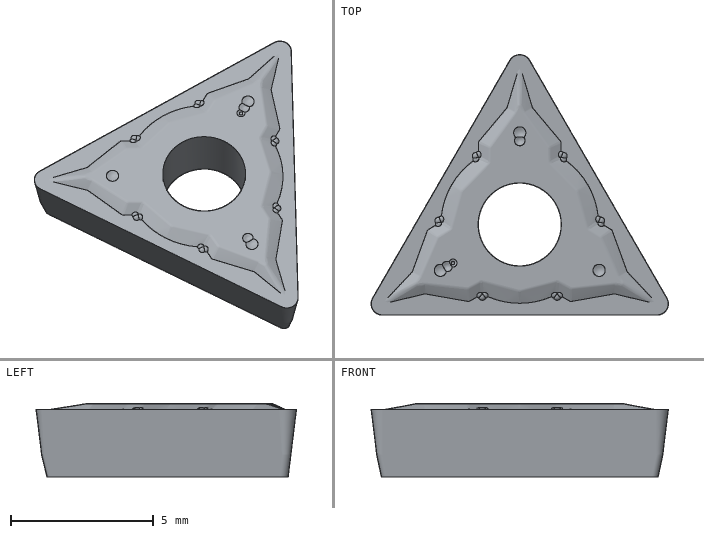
import cadquery as cq
import math

SIDES = 3
SIDE_TURN = 360 / SIDES
INSCRIBED_RADIUS = 3.175
CORNER_RADIUS = 0.4
BODY_THICKNESS = 2.38
RELIEF_ANGLE = 7.0
RELIEF_SLOPE = math.tan(math.radians(RELIEF_ANGLE))
CORNER_BREAK_HEIGHT = 0.78
HOLE_DIAMETER = 2.9

BREAKER_HEIGHT = 0.2
TIP_REACH = 5.58
RIDGE_REACH = 4.25

FOOT_KNEE = (3.317, 2.43)
FOOT_PEAK = (1.78, 2.70)
FOOT_VALLEY = (1.31, 2.43)
FOOT_ARC_RADIUS = math.hypot(*FOOT_VALLEY)
RIM_KNEE = (3.317, 2.09)
RIM_PEAK = (1.81, 2.25)
RIM_VALLEY = (1.335, 1.99)
RIM_MIDDLE = 2.34

CORNER_FILLET = 0.3
KNEE_FILLET = 0.2
MIDDLE_FILLET = 0.5
RIM_FILLET = 0.2
RIDGE_FILLET = 0.2

CLUSTER_CENTRE = (1.31, 2.45)
BUMP_OFFSETS = ((-0.1, 0), (0.1, 0), (0, 0.08))
BUMP_RADIUS = 0.125
BUMP_HEIGHT = 0.06

DIMPLES = ((0.213, 3.21), (0.183, 2.94), (0.14, 2.70))
DIMPLE_COUNTS = ((0, 1), (1, 2), (2, 3))
DIMPLE_RING = 0.08
DIMPLE_RING_DEPTH = 0.03
DISH_DEPTH = 0.03

MATCH_TOLERANCE = 0.01
TOP_Z = BODY_THICKNESS + BREAKER_HEIGHT


def polar(reach, angle):
    """Point at a distance from the axis in a direction given in degrees."""
    return reach * math.cos(math.radians(angle)), reach * math.sin(math.radians(angle))


def side_point(along, outward, side):
    """Point placed relative to a side; side 0 faces -Y."""
    turn = math.radians(SIDE_TURN * side)
    return (
        along * math.cos(turn) + outward * math.sin(turn),
        along * math.sin(turn) - outward * math.cos(turn),
    )


def side_angle(side):
    """Direction that a side faces."""
    return SIDE_TURN * side - 90


def corner_angle(corner):
    """Direction of a corner; corner 0 is where side 0 ends on +X."""
    return side_angle(corner) + SIDE_TURN / 2


def on_both_halves(point):
    """The mirrored pair of a side point, repeated on every side."""
    along, outward = point
    return [side_point(sign * along, outward, side) for side in range(SIDES) for sign in (-1, 1)]


def rounded_triangle(height):
    """Outline of the body at a height, as a closed wire."""
    inset = (BODY_THICKNESS - height) * RELIEF_SLOPE
    cone_drop = BODY_THICKNESS - max(height, CORNER_BREAK_HEIGHT)
    radius = CORNER_RADIUS - cone_drop * RELIEF_SLOPE
    inscribed = INSCRIBED_RADIUS - inset
    half_straight = (inscribed - radius) * math.tan(math.radians(SIDE_TURN / 2))
    corner_reach = (inscribed - radius) / math.cos(math.radians(SIDE_TURN / 2)) + radius
    start = side_point(-half_straight, inscribed, 0)
    outline = cq.Workplane("XY", origin=(0, 0, height)).moveTo(*start)
    for side in range(SIDES):
        corner = polar(corner_reach, corner_angle(side))
        outline = outline.lineTo(*side_point(half_straight, inscribed, side))
        outline = outline.threePointArc(corner, side_point(-half_straight, inscribed, side + 1))
    return outline.close().val()


def make_body():
    base = rounded_triangle(0)
    corner_break = rounded_triangle(CORNER_BREAK_HEIGHT)
    top = rounded_triangle(BODY_THICKNESS)
    upper = cq.Solid.makeLoft([corner_break, top], True)
    lower = cq.Solid.makeLoft([base, corner_break], True)
    return cq.Workplane(upper).union(cq.Workplane(lower)).clean()


def breaker_outline(height, corner_reach, knee, peak, valley, middle, curved):
    """Closed outline of the island at a height; curved makes the stretch between valleys an arc."""
    start = polar(corner_reach, corner_angle(-1))
    outline = cq.Workplane("XY", origin=(0, 0, height)).moveTo(*start)
    for side in range(SIDES):
        for along, outward in (knee, peak, valley):
            outline = outline.lineTo(*side_point(-along, outward, side))
        middle_point = side_point(0, middle, side)
        valley_end = side_point(*valley, side)
        if curved:
            half_sweep = math.degrees(math.atan2(*valley)) / 2
            before_middle = polar(middle, side_angle(side) - half_sweep)
            after_middle = polar(middle, side_angle(side) + half_sweep)
            outline = outline.threePointArc(before_middle, middle_point)
            outline = outline.threePointArc(after_middle, valley_end)
        else:
            outline = outline.lineTo(*middle_point).lineTo(*valley_end)
        for along, outward in (peak, knee):
            outline = outline.lineTo(*side_point(along, outward, side))
        if side < SIDES - 1:
            outline = outline.lineTo(*polar(corner_reach, corner_angle(side)))
    return outline.close().val()


def wall_seams(solid, foot_points):
    """Sloping edges of the island wall that start at the given foot points."""
    seams = []
    for edge in solid.Edges():
        foot_end = min(edge.startPoint(), edge.endPoint(), key=lambda point: point.z)
        is_sloping = edge.BoundingBox().zlen > BREAKER_HEIGHT / 2
        starts_here = any(
            math.hypot(foot_end.x - x, foot_end.y - y) < MATCH_TOLERANCE for x, y in foot_points
        )
        if is_sloping and starts_here:
            seams.append(edge)
    return seams


def make_breaker():
    foot = breaker_outline(
        BODY_THICKNESS, TIP_REACH, FOOT_KNEE, FOOT_PEAK, FOOT_VALLEY, FOOT_ARC_RADIUS, curved=True
    )
    rim = breaker_outline(
        TOP_Z, RIDGE_REACH, RIM_KNEE, RIM_PEAK, RIM_VALLEY, RIM_MIDDLE, curved=False
    )
    island = cq.Solid.makeLoft([foot, rim], True)

    wall_corners = on_both_halves(FOOT_PEAK) + on_both_halves(FOOT_VALLEY)
    knees = on_both_halves(FOOT_KNEE)
    middles = [side_point(0, FOOT_ARC_RADIUS, side) for side in range(SIDES)]
    tips = [polar(TIP_REACH, corner_angle(side)) for side in range(SIDES)]
    for foot_points, radius in (
        (wall_corners, CORNER_FILLET),
        (knees, KNEE_FILLET),
        (middles, MIDDLE_FILLET),
        (tips, RIDGE_FILLET),
    ):
        island = island.fillet(radius, wall_seams(island, foot_points))
    return cq.Workplane(island).faces(">Z").edges().fillet(RIM_FILLET)


def cap_sphere_radius(cap_radius, cap_height):
    """Radius of the sphere that a plane cuts in a cap of the given radius and height."""
    return (cap_radius**2 + cap_height**2) / (2 * cap_height)


def make_ball(radius, centre):
    """Ball with its poles on a level line, so that its cap is one unbroken face."""
    return cq.Workplane("XY").sphere(radius, direct=(1, 0, 0)).translate(centre)


def make_bump(x, y):
    radius = cap_sphere_radius(BUMP_RADIUS, BUMP_HEIGHT)
    return make_ball(radius, (x, y, BODY_THICKNESS + BUMP_HEIGHT - radius))


def make_dimple(rim_radius, reach, angle):
    """Cutter for one mark: a conical ring around a rounded dish."""
    x, y = polar(reach, angle)
    dish_radius = rim_radius - DIMPLE_RING
    ring_bottom = TOP_Z - DIMPLE_RING_DEPTH
    ring = cq.Solid.makeCone(dish_radius, rim_radius, DIMPLE_RING_DEPTH)
    ball_radius = cap_sphere_radius(dish_radius, DISH_DEPTH)
    ball = make_ball(ball_radius, (x, y, ring_bottom - DISH_DEPTH + ball_radius))
    core = cq.Workplane("XY", origin=(x, y, ring_bottom - DISH_DEPTH)).circle(dish_radius)
    dish = ball.intersect(core.extrude(DISH_DEPTH))
    return dish.union(cq.Workplane(ring.moved(cq.Location((x, y, ring_bottom)))))


def make_hole():
    return cq.Workplane("XY").circle(HOLE_DIAMETER / 2).extrude(TOP_Z)


def add_bumps(part):
    along, outward = CLUSTER_CENTRE
    for along_offset, outward_offset in BUMP_OFFSETS:
        bump_centre = (along + along_offset, outward + outward_offset)
        for x, y in on_both_halves(bump_centre):
            part = part.union(make_bump(x, y))
    return part


def cut_corner_marks(part):
    for corner, dimple_count in DIMPLE_COUNTS:
        for rim_radius, reach in DIMPLES[:dimple_count]:
            part = part.cut(make_dimple(rim_radius, reach, corner_angle(corner)))
    return part


insert = make_body().union(make_breaker())
insert = add_bumps(insert)
insert = cut_corner_marks(insert)
result = insert.cut(make_hole())